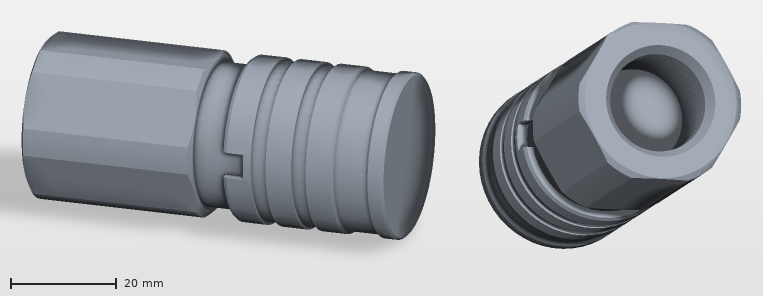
import cadquery as cq
import math

total_length = 72.5
body_radius = 15.985

hex_length = 34.1
hex_across_flats = 30.0
hex_end_radius = 14.85
hex_chamfer_angle = 30.0

neck_radius = 13.85

sleeve_start = 40.45
groove_radius = 15.4
first_rib_end = 46.1
second_rib_start = 49.1
second_rib_end = 54.15
third_rib_start = 57.05
third_rib_end = 62.6
collar_start = 68.95
sleeve_edge_length = 0.7
sleeve_edge_depth = 0.5
rib_bevel = 0.5
collar_chamfer = 0.4

clearance_radius = 14.2
clearance_end = 45.3

notch_end = 44.6
notch_width = 5.1
notch_corner_radius = 0.2

bore_radius = 9.35
bore_mouth_radius = 10.7
bore_mouth_depth = 2.2
bore_depth = 18.85


def revolve_about_x(points):
    """Close an (axial, radial) outline and revolve it around the X axis."""
    return cq.Workplane("XY").polyline(points).close().revolve(360, (0, 0, 0), (1, 0, 0))


def make_hexagon():
    """Hexagonal bar with flats on +Z and -Z, corners turned round and both ends chamfered."""
    across_corners = hex_across_flats / math.cos(math.radians(30))
    bar = cq.Workplane("YZ").polygon(6, across_corners).extrude(hex_length)
    chamfer_length = (body_radius - hex_end_radius) * math.tan(math.radians(hex_chamfer_angle))
    envelope = revolve_about_x([
        (0, 0),
        (0, hex_end_radius),
        (chamfer_length, body_radius),
        (hex_length - chamfer_length, body_radius),
        (hex_length, hex_end_radius),
        (hex_length, 0),
    ])
    return bar.intersect(envelope)


def make_neck():
    """Round neck running from the hexagon to the end of the clearance inside the sleeve."""
    return (
        cq.Workplane("YZ").workplane(offset=hex_length)
        .circle(neck_radius).extrude(clearance_end - hex_length)
    )


def make_sleeve():
    """Ribbed sleeve with a bevelled leading edge and an end collar."""
    return revolve_about_x([
        (sleeve_start, 0),
        (sleeve_start, body_radius - sleeve_edge_depth),
        (sleeve_start + sleeve_edge_length, body_radius),
        (first_rib_end, body_radius),
        (first_rib_end, groove_radius),
        (second_rib_start, groove_radius),
        (second_rib_start, body_radius),
        (second_rib_end, body_radius),
        (second_rib_end, groove_radius),
        (third_rib_start, groove_radius),
        (third_rib_start, body_radius),
        (third_rib_end - rib_bevel, body_radius),
        (third_rib_end, groove_radius),
        (collar_start, groove_radius),
        (collar_start + rib_bevel, body_radius),
        (total_length - collar_chamfer, body_radius),
        (total_length, body_radius - collar_chamfer),
        (total_length, 0),
    ])


def make_notches():
    """One bar across the full diameter, rounded at its inner corners, cuts both opposite notches."""
    bar = cq.Workplane("XY").box(
        notch_end - sleeve_start, 2 * body_radius, notch_width, centered=(False, True, True)
    )
    return bar.edges("|Y and >X").fillet(notch_corner_radius).translate((sleeve_start, 0, 0))


def make_bore():
    """Blind bore with a conical mouth."""
    return revolve_about_x([
        (0, 0),
        (0, bore_mouth_radius),
        (bore_mouth_depth, bore_radius),
        (bore_depth, bore_radius),
        (bore_depth, 0),
    ])


def make_clearance():
    """Counterbore that keeps the sleeve edge clear of the neck."""
    return (
        cq.Workplane("YZ").workplane(offset=sleeve_start)
        .circle(clearance_radius).extrude(clearance_end - sleeve_start)
    )


notched_sleeve = make_sleeve().cut(make_notches()).cut(make_clearance())
result = notched_sleeve.union(make_neck()).union(make_hexagon()).cut(make_bore())